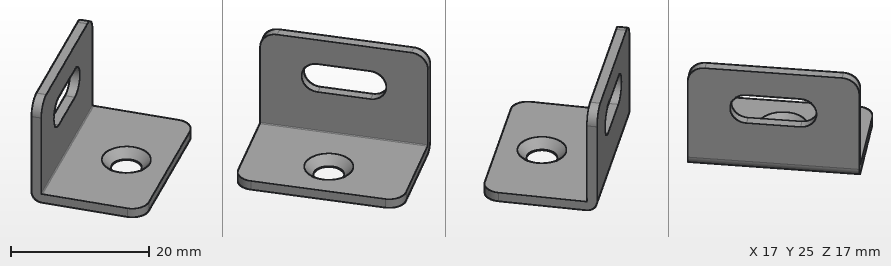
import cadquery as cq

width = 25.0
leg = 17.0
thickness = 1.5
inner_bend_radius = 0.12
outer_bend_radius = inner_bend_radius + thickness
corner_radius = 2.5

opening_offset = 10.5

hole_diameter = 4.45
countersink_diameter = 7.1
countersink_angle = 90.0

slot_length = 12.6
slot_width = 4.75


def bent_sheet():
    """L-shaped sheet with its outer bend edge along the Y axis."""
    profile = (
        cq.Workplane("XZ")
        .polyline([(0, 0), (leg, 0), (leg, thickness), (thickness, thickness), (thickness, leg), (0, leg)])
        .close()
    )
    sheet = profile.extrude(width / 2, both=True)
    outer_bend = cq.selectors.NearestToPointSelector((0, 0, 0))
    inner_bend = cq.selectors.NearestToPointSelector((thickness, 0, thickness))
    sheet = sheet.edges(outer_bend).fillet(outer_bend_radius)
    return sheet.edges(inner_bend).fillet(inner_bend_radius)


def round_free_corners(sheet):
    """Round the two free corners of each leg."""
    sheet = sheet.faces(">X").edges("|Z").fillet(corner_radius)
    return sheet.faces(">Z").edges("|X").fillet(corner_radius)


def cut_countersunk_hole(sheet):
    """Through hole countersunk from the inside face of the horizontal leg."""
    return (
        sheet.copyWorkplane(cq.Workplane("XY", origin=(opening_offset, 0, thickness)))
        .cskHole(hole_diameter, countersink_diameter, countersink_angle, depth=thickness)
    )


def cut_slot(sheet):
    """Slot through the upright leg, running along Y."""
    cutter = (
        cq.Workplane("YZ", origin=(0, 0, opening_offset))
        .slot2D(slot_length, slot_width)
        .extrude(thickness)
    )
    return sheet.cut(cutter)


bracket = round_free_corners(bent_sheet())
result = cut_slot(cut_countersunk_hole(bracket))